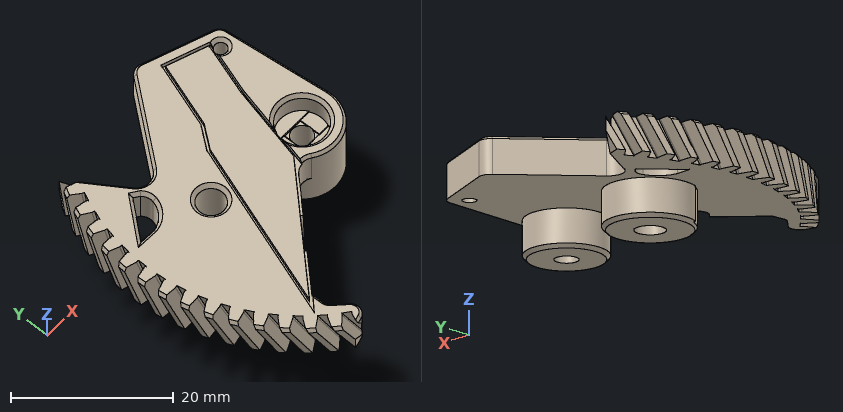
import cadquery as cq
import math


PLATE_THICKNESS = 5.0
BOSS_DROP = 5.0
EDGE_CHAMFER = 0.4
BOSS_CHAMFER = 0.5

MODULE = 1.0
TOOTH_COUNT = 60
TIP_RADIUS = 31.0
ROOT_RADIUS = TIP_RADIUS - 2.25 * MODULE
PITCH_RADIUS = TIP_RADIUS - MODULE
TOOTH_PITCH = 360 / TOOTH_COUNT
HELIX_ANGLE = 30.0
GAP_COUNT = 17
FIRST_GAP_ANGLE = 142.0
GAP_ROOT_WIDTH = 1.23
GAP_ROOT_DEPTH = 0.35
GAP_TIP_WIDTH = 2.2
CUTTER_OVERHANG = 0.45
HELIX_TWIST = math.degrees(PLATE_THICKNESS * math.tan(math.radians(HELIX_ANGLE)) / PITCH_RADIUS)

SECTOR_START_ANGLE = 146.9
SECTOR_END_ANGLE = 233.2
VALLEY = (-19.3, 6.75)
ARM_TOP_LEFT = (-7.8, 20.9)
ARM_TOP_RIGHT = (3.9, 16.7)
EDGE_SLOPE = 1.046
EDGE_BASE = (-18.3, -17.6)
EDGE_INSIDE_HUB_X = -2.73
HUB_INNER_CORNER_X = -4.35
NOTCH_CORNER = (-18.3, -19.95)
LOBE_CORNER = (-14.5, -23.75)
VALLEY_RADIUS = 2.2
ARM_CORNER_RADIUS = 1.7
NOTCH_RADIUS = 1.2
LOBE_RADIUS = 1.5
HUB_BLEND_RADIUS = 2.0

HUB_DIAMETER = 10.9
HUB_BORE_DIAMETER = 7.0
HUB_BORE_CHAMFER = 0.5
HUB_BORE_DEPTH = 3.22
HUB_HOLE_DIAMETER = 3.1
HUB_SLOT_WIDTH = 3.2
HUB_POCKET_LENGTH = 3.0
HUB_STEP_DEPTH = 0.2

PIVOT_CENTRE = (-16.15, 0.73)
PIVOT_DIAMETER = 12.0
PIVOT_RELIEF_DEPTH = 0.2
PIVOT_RELIEF_ANGLE = 25.7
PIVOT_BORE_DIAMETER = 4.0
PIVOT_BORE_CHAMFER = 0.55
CORNER_HOLE_CENTRE = (1.6, 14.63)
CORNER_HOLE_DIAMETER = 1.8
CORNER_HOLE_CHAMFER = 0.5

WINDOW_CHAMFER = 0.5
WINDOW_LEFT = (-27.35, 2.85)
WINDOW_TOP = (-22.1, 9.05)
WINDOW_SHOULDER = (-20.9, 8.18)
WINDOW_SHOULDER_MID = (-20.4, 7.25)
WINDOW_RIGHT = (-20.35, 6.05)
WINDOW_ARC_MID = (-21.35, 4.15)
WINDOW_BOTTOM = (-24.0, 2.75)

RECESS_DEPTH = 0.7
COVER_THICKNESS = 0.55
COVER_CLEARANCE = 0.4
RECESS_TIP_X = -20.35
RECESS_HUB_X = -4.3
RECESS_OVERHANG = (-0.3, -1.15)
RECESS_UPPER = [(-11.1, 5.8), (-8.68, 8.9), (-5.3, 18.35), (1.23, 16.05), (-1.45, 8.3)]
SLOT_X = -11.95
SLOT_WIDTH = 2.9
SLOT_FLAT = 0.95
SLOT_OUTSIDE_REACH = 5.45
SLOT_FLARE_RADIUS = 4.1
SLOT_FLARE_START = 1.45


def polar(radius, angle):
    """Point at a radius and an angle in degrees about the gear axis."""
    return (radius * math.cos(math.radians(angle)), radius * math.sin(math.radians(angle)))


def edge_point(x):
    """Point on the straight lower edge of the plate at a given x."""
    return (x, EDGE_BASE[1] + EDGE_SLOPE * (x - EDGE_BASE[0]))


def hub_tangent_point():
    """Where the right edge of the arm runs tangentially into the hub."""
    distance = math.hypot(*ARM_TOP_RIGHT)
    angle = math.degrees(math.atan2(ARM_TOP_RIGHT[1], ARM_TOP_RIGHT[0]))
    return polar(HUB_DIAMETER / 2, angle - math.degrees(math.acos(HUB_DIAMETER / 2 / distance)))


def boss(centre, diameter, top):
    """Round boss from its chamfered foot up to the given height."""
    return (
        cq.Workplane("XY", origin=(*centre, -BOSS_DROP))
        .circle(diameter / 2)
        .extrude(BOSS_DROP + top)
        .faces("<Z")
        .chamfer(BOSS_CHAMFER)
    )


def pivot_relief_cutter():
    """Half ring that slims the pivot boss on its hub side below the plate."""
    outer_radius = PIVOT_DIAMETER / 2 + CUTTER_OVERHANG
    return (
        cq.Workplane("XY")
        .moveTo(-outer_radius, 0)
        .threePointArc((0, -outer_radius), (outer_radius, 0))
        .close()
        .extrude(-BOSS_DROP)
        .cut(cq.Workplane("XY").circle(PIVOT_DIAMETER / 2 - PIVOT_RELIEF_DEPTH).extrude(-BOSS_DROP))
        .rotate((0, 0, 0), (0, 0, 1), PIVOT_RELIEF_ANGLE)
        .translate((*PIVOT_CENTRE, 0))
    )


def top_bore(centre, diameter, depth, chamfer):
    """Cutter for a round hole sunk from the plate top, with a countersunk rim."""
    hole = cq.Workplane("XY", origin=(*centre, PLATE_THICKNESS)).circle(diameter / 2).extrude(-depth)
    rim = (
        cq.Workplane("XY", origin=(*centre, PLATE_THICKNESS))
        .circle(diameter / 2 + chamfer)
        .extrude(-chamfer, taper=45)
    )
    return hole.union(rim)


def plate_blank():
    """Plate with rounded corners, joined to the hub and chamfered round its top."""
    middle_angle = (SECTOR_START_ANGLE + SECTOR_END_ANGLE) / 2
    plate = (
        cq.Workplane("XY")
        .moveTo(*polar(TIP_RADIUS, SECTOR_START_ANGLE))
        .lineTo(*VALLEY)
        .lineTo(*ARM_TOP_LEFT)
        .lineTo(*ARM_TOP_RIGHT)
        .lineTo(*hub_tangent_point())
        .lineTo(*edge_point(EDGE_INSIDE_HUB_X))
        .lineTo(*EDGE_BASE)
        .lineTo(*NOTCH_CORNER)
        .lineTo(*LOBE_CORNER)
        .lineTo(*polar(TIP_RADIUS, SECTOR_END_ANGLE))
        .threePointArc(polar(TIP_RADIUS, middle_angle), polar(TIP_RADIUS, SECTOR_START_ANGLE))
        .close()
        .extrude(PLATE_THICKNESS)
    )
    corner_radii = [
        (VALLEY, VALLEY_RADIUS),
        (ARM_TOP_LEFT, ARM_CORNER_RADIUS),
        (ARM_TOP_RIGHT, ARM_CORNER_RADIUS),
        (NOTCH_CORNER, NOTCH_RADIUS),
        (LOBE_CORNER, LOBE_RADIUS),
    ]
    for corner, radius in corner_radii:
        nearest = cq.NearestToPointSelector((*corner, PLATE_THICKNESS / 2))
        plate = plate.edges("|Z").edges(nearest).fillet(radius)

    hub_disc = cq.Workplane("XY").circle(HUB_DIAMETER / 2).extrude(PLATE_THICKNESS)
    plate = plate.union(hub_disc)
    inner_corner = (*edge_point(HUB_INNER_CORNER_X), PLATE_THICKNESS / 2)
    plate = plate.edges("|Z").edges(cq.NearestToPointSelector(inner_corner)).fillet(HUB_BLEND_RADIUS)
    return plate.faces(">Z").edges().chamfer(EDGE_CHAMFER)


def tooth_gap(angle):
    """Twisted cutter for one straight-rooted gap whose centre is at the given angle on the plate top."""
    outer_radius = TIP_RADIUS + CUTTER_OVERHANG
    flank_radius = ROOT_RADIUS + GAP_ROOT_DEPTH
    flare = (GAP_TIP_WIDTH - GAP_ROOT_WIDTH) / (TIP_RADIUS - flank_radius)
    outer_half = (GAP_TIP_WIDTH + flare * CUTTER_OVERHANG) / 2
    root_half = GAP_ROOT_WIDTH / 2
    return (
        cq.Workplane("XY")
        .polyline(
            [
                (ROOT_RADIUS, -root_half),
                (flank_radius, -root_half),
                (outer_radius, -outer_half),
                (outer_radius, outer_half),
                (flank_radius, root_half),
                (ROOT_RADIUS, root_half),
            ]
        )
        .close()
        .twistExtrude(PLATE_THICKNESS, -HELIX_TWIST)
        .rotate((0, 0, 0), (0, 0, 1), angle + HELIX_TWIST)
    )


def window_cutter():
    """Half-moon opening through the plate with a chamfered rim."""
    outline = (
        cq.Workplane("XY", origin=(0, 0, PLATE_THICKNESS))
        .moveTo(*WINDOW_LEFT)
        .lineTo(*WINDOW_TOP)
        .lineTo(*WINDOW_SHOULDER)
        .threePointArc(WINDOW_SHOULDER_MID, WINDOW_RIGHT)
        .threePointArc(WINDOW_ARC_MID, WINDOW_BOTTOM)
        .close()
    )
    rim = outline.extrude(-WINDOW_CHAMFER, taper=45)
    opening = rim.faces("<Z").wires().toPending().extrude(-PLATE_THICKNESS, combine=False)
    return rim.union(opening)


def hub_bore_cutter():
    """Stepped bore: wide bore, cross slot, square pocket and through hole."""
    floor = PLATE_THICKNESS - HUB_BORE_DEPTH
    bore = top_bore((0, 0), HUB_BORE_DIAMETER, HUB_BORE_DEPTH, HUB_BORE_CHAMFER)
    slot = (
        cq.Workplane("XY", origin=(0, 0, floor))
        .circle(HUB_BORE_DIAMETER / 2)
        .extrude(-HUB_STEP_DEPTH)
        .intersect(cq.Workplane("XY").box(HUB_BORE_DIAMETER, HUB_SLOT_WIDTH, 2 * PLATE_THICKNESS))
    )
    pocket = (
        cq.Workplane("XY", origin=(0, 0, floor))
        .rect(HUB_POCKET_LENGTH, HUB_SLOT_WIDTH)
        .extrude(-2 * HUB_STEP_DEPTH)
    )
    hole = cq.Workplane("XY", origin=(0, 0, floor)).circle(HUB_HOLE_DIAMETER / 2).extrude(-floor - BOSS_DROP)
    return bore.union(slot).union(pocket).union(hole)


def recess_cutter():
    """Shallow recess for the cover, open along the lower edge of the plate."""
    hub_x, hub_y = edge_point(RECESS_HUB_X)
    corner = (hub_x + RECESS_OVERHANG[0], hub_y + RECESS_OVERHANG[1])
    return (
        cq.Workplane("XY", origin=(0, 0, PLATE_THICKNESS))
        .polyline([edge_point(RECESS_TIP_X), *RECESS_UPPER, (hub_x, hub_y), corner])
        .close()
        .extrude(-RECESS_DEPTH)
    )


def flared_slot_cutter():
    """Round-ended slot across the lower edge, flaring like a trumpet towards the recess."""
    floor = PLATE_THICKNESS - RECESS_DEPTH
    half = SLOT_WIDTH / 2
    rise = floor - SLOT_FLARE_START
    spread = SLOT_FLARE_RADIUS - math.sqrt(SLOT_FLARE_RADIUS**2 - rise**2)
    mid_spread = SLOT_FLARE_RADIUS - math.sqrt(SLOT_FLARE_RADIUS**2 - rise**2 / 4)
    profile = (
        cq.Workplane("XZ")
        .lineTo(half, 0)
        .lineTo(half, SLOT_FLARE_START)
        .threePointArc((half + mid_spread, SLOT_FLARE_START + rise / 2), (half + spread, floor))
        .lineTo(0, floor)
        .close()
    )
    round_end = profile.revolve(360, (0, 0, 0), (0, 1, 0))
    straight_half = profile.toPending().extrude(SLOT_OUTSIDE_REACH, combine=False)
    edge_angle = math.degrees(math.atan(EDGE_SLOPE))
    return (
        round_end.union(straight_half)
        .union(straight_half.mirror("YZ"))
        .translate((0, SLOT_FLAT, 0))
        .rotate((0, 0, 0), (0, 0, 1), edge_angle)
        .translate((*edge_point(SLOT_X), 0))
    )


def make_housing():
    """Gear sector, arm and bosses in one piece."""
    full_depth = PLATE_THICKNESS + BOSS_DROP
    housing = plate_blank()
    housing = housing.union(boss((0, 0), HUB_DIAMETER, EDGE_CHAMFER))
    housing = housing.union(boss(PIVOT_CENTRE, PIVOT_DIAMETER, EDGE_CHAMFER))
    housing = housing.cut(pivot_relief_cutter())
    housing = housing.cut(hub_bore_cutter())
    housing = housing.cut(top_bore(PIVOT_CENTRE, PIVOT_BORE_DIAMETER, full_depth, PIVOT_BORE_CHAMFER))
    housing = housing.cut(top_bore(CORNER_HOLE_CENTRE, CORNER_HOLE_DIAMETER, full_depth, CORNER_HOLE_CHAMFER))
    housing = housing.cut(window_cutter())
    housing = housing.cut(recess_cutter())
    housing = housing.cut(flared_slot_cutter())
    for index in range(GAP_COUNT):
        housing = housing.cut(tooth_gap(FIRST_GAP_ANGLE + index * TOOTH_PITCH))
    return housing


def make_cover():
    """Thin plate lying flush in the recess with an even gap all round."""
    return (
        cq.Workplane("XY", origin=(0, 0, PLATE_THICKNESS))
        .polyline([edge_point(RECESS_TIP_X), *RECESS_UPPER, edge_point(RECESS_HUB_X)])
        .close()
        .offset2D(-COVER_CLEARANCE)
        .extrude(-COVER_THICKNESS)
    )


housing = make_housing()
cover = make_cover()
result = cq.Compound.makeCompound([housing.val(), cover.val()])